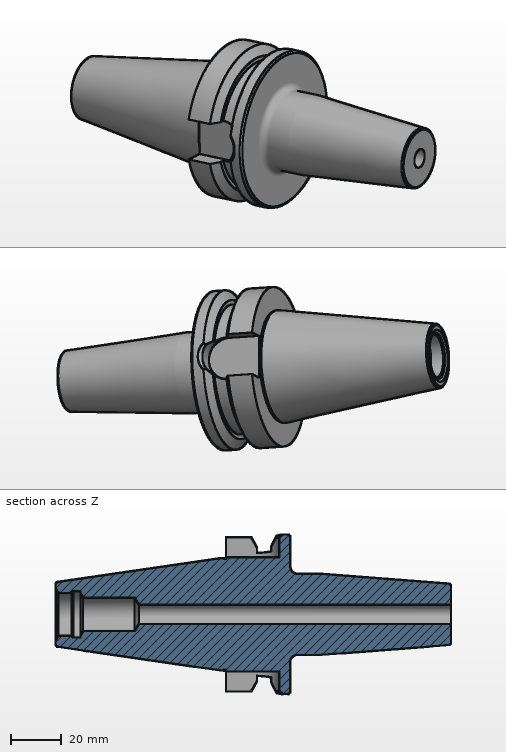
import cadquery as cq
import math

total_length = 155.4
gauge_x = 65.5
gauge_radius = 22.2
taper_slope = 7 / 48
shank_chamfer = 0.6
relief_radius = 21.8
relief_start_x = 66.2

flange_start_x = 67.0
flange_end_x = 92.3
flange_diameter = 63.0
flange_radius = flange_diameter / 2
flange_chamfer = 0.8
groove_start_x = 77.0
groove_end_x = 87.0
groove_floor_radius = 25.6
groove_wall_run = 2.3
groove_wall_angle = 60

collar_radius = 16.0
collar_fillet = 2.8
nose_start_x = 104.5
nose_end_radius = 12.1
nose_chamfer = 0.6

slot_width = 16.6
slot_floor = 22.5
slot_round_x = 79.5
slot_chamfer = 1.4

mouth_radius = 10.3
mouth_floor_radius = 9.0
mouth_depth = 0.6
pilot_radius = 8.4
pilot_lead_in = 0.6
pilot_end_x = 6.2
relief_groove_run = 0.8
relief_groove_radius = 9.0
relief_groove_end_x = 9.8
thread_radius = 6.5
thread_lead_in = 1.9
thread_lead_in_run = 1.1
thread_end_x = 31.1
through_radius = 3.7
drill_half_angle = 59


def make_body():
    """Solid of revolution about the X axis."""
    small_radius = gauge_radius - gauge_x * taper_slope
    wall_drop = groove_wall_run * math.tan(math.radians(groove_wall_angle))
    wall_foot_radius = flange_radius - wall_drop
    fillet_offset = collar_fillet * (1 - math.sqrt(0.5))
    profile = (
        cq.Workplane("XY")
        .moveTo(0, 0)
        .lineTo(0, small_radius - shank_chamfer)
        .lineTo(shank_chamfer, small_radius + shank_chamfer * taper_slope)
        .lineTo(gauge_x, gauge_radius)
        .lineTo(relief_start_x, gauge_radius)
        .lineTo(relief_start_x, relief_radius)
        .lineTo(flange_start_x, relief_radius)
        .lineTo(flange_start_x, flange_radius)
        .lineTo(groove_start_x, flange_radius)
        .lineTo(groove_start_x + groove_wall_run, wall_foot_radius)
        .lineTo(groove_start_x + groove_wall_run, groove_floor_radius)
        .lineTo(groove_end_x - groove_wall_run, groove_floor_radius)
        .lineTo(groove_end_x - groove_wall_run, wall_foot_radius)
        .lineTo(groove_end_x, flange_radius)
        .lineTo(flange_end_x - flange_chamfer, flange_radius)
        .lineTo(flange_end_x, flange_radius - flange_chamfer)
        .lineTo(flange_end_x, collar_radius + collar_fillet)
        .threePointArc(
            (flange_end_x + fillet_offset, collar_radius + fillet_offset),
            (flange_end_x + collar_fillet, collar_radius),
        )
        .lineTo(nose_start_x, collar_radius)
        .lineTo(total_length - nose_chamfer, nose_end_radius)
        .lineTo(total_length, nose_end_radius - nose_chamfer)
        .lineTo(total_length, 0)
        .close()
    )
    return profile.revolve(360, (0, 0, 0), (1, 0, 0))


def make_drive_slot():
    """Round-ended slot on the -Y side, chamfered at its round end."""
    half_width = slot_width / 2
    slot_depth = flange_radius - slot_floor
    straight_length = slot_round_x - flange_start_x
    outer_plane = cq.Workplane("XZ", origin=(slot_round_x, -flange_radius, 0))
    straight = outer_plane.center(-straight_length / 2, 0).rect(straight_length, slot_width)
    slot = straight.extrude(-slot_depth)
    slot = slot.union(outer_plane.circle(half_width).extrude(-slot_depth))
    cone_profile = [
        (0, -flange_radius),
        (half_width + slot_chamfer, -flange_radius),
        (half_width, slot_chamfer - flange_radius),
        (0, slot_chamfer - flange_radius),
    ]
    cone = cq.Workplane("XY", origin=(slot_round_x, 0, 0)).polyline(cone_profile).close()
    cone = cone.revolve(90, (0, 0, 0), (0, 1, 0))
    cone = cone.union(cone.mirror("XY"))
    return slot.union(cone)


def make_bore():
    """Pull-stud bore with a drill-point floor and a coolant hole right through."""
    point_length = (thread_radius - through_radius) / math.tan(math.radians(drill_half_angle))
    profile = (
        cq.Workplane("XY")
        .moveTo(0, 0)
        .lineTo(0, mouth_radius)
        .lineTo(mouth_depth, mouth_floor_radius)
        .lineTo(mouth_depth + pilot_lead_in, pilot_radius)
        .lineTo(pilot_end_x, pilot_radius)
        .lineTo(pilot_end_x + relief_groove_run, relief_groove_radius)
        .lineTo(relief_groove_end_x, relief_groove_radius)
        .lineTo(relief_groove_end_x, thread_radius + thread_lead_in)
        .lineTo(relief_groove_end_x + thread_lead_in_run, thread_radius)
        .lineTo(thread_end_x, thread_radius)
        .lineTo(thread_end_x + point_length, through_radius)
        .lineTo(total_length, through_radius)
        .lineTo(total_length, 0)
        .close()
    )
    return profile.revolve(360, (0, 0, 0), (1, 0, 0))


slot = make_drive_slot()
result = make_body().cut(make_bore()).cut(slot).cut(slot.mirror("XZ"))